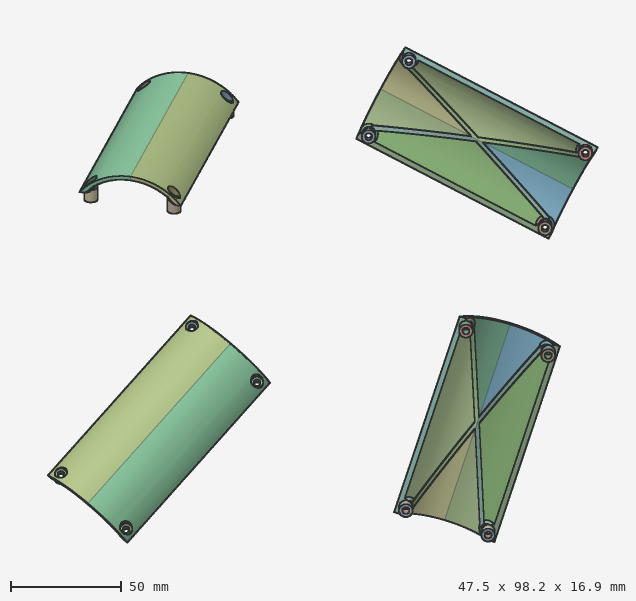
import cadquery as cq
import math

width = 47.5
length = 98.15
height = 16.9

outer_radius = 30.0
shell_thickness = 2.0
inner_radius = outer_radius - shell_thickness
mid_radius = outer_radius - shell_thickness / 2

post_diameter = 6.2
post_spacing_x = 38.9
post_spacing_y = 90.0
post_chamfer = 1.2
screw_hole_diameter = 3.1
counterbore_diameter = 5.5
counterbore_floor_z = 0.95

rib_height = 1.0
rib_width = 2.0
rib_spread_x = 33.2

axis_z = -math.sqrt(outer_radius**2 - (width / 2) ** 2)
crown_z = axis_z + outer_radius
post_bottom_z = crown_z - height
post_x = post_spacing_x / 2
post_y = post_spacing_y / 2

trim_allowance = 3.5
edge_search_distance = 1.3


def arch_cylinder(radius):
    """Cylinder along Y about the arch axis, longer than the part, with its seam along the crown."""
    stock_length = length + 2 * trim_allowance
    end_plane = cq.Plane(origin=(0, stock_length / 2, axis_z), xDir=(0, 0, 1), normal=(0, -1, 0))
    return cq.Workplane(end_plane).circle(radius).extrude(stock_length)


def right_side_box(width_x, length_y, bottom_z):
    """Box on the +X side of the crown, centered on Y, from bottom_z up to the crown."""
    return cq.Workplane("XY", origin=(0, 0, bottom_z)).box(
        width_x, length_y, crown_z - bottom_z, centered=(False, True, False)
    )


def upright_cylinders(diameter, bottom_z):
    """Vertical cylinders at the two +X post centers, from bottom_z up to the crown."""
    return (
        cq.Workplane("XY", origin=(0, 0, bottom_z))
        .pushPoints([(post_x, -post_y), (post_x, post_y)])
        .circle(diameter / 2)
        .extrude(crown_z - bottom_z)
    )


def half_shell_with_posts():
    """The +X half of the shell with two posts, chamfered where they meet the inner surface."""
    stock_box = right_side_box(outer_radius, length + 2 * trim_allowance, -trim_allowance)
    stock = arch_cylinder(outer_radius).cut(arch_cylinder(inner_radius)).intersect(stock_box)
    posts = upright_cylinders(post_diameter, post_bottom_z)
    body = stock.union(posts.intersect(arch_cylinder(mid_radius)))
    root_edges = [
        edge
        for edge in body.edges("not(%LINE or %CIRCLE or %ELLIPSE)").vals()
        if abs(math.hypot(edge.Center().x, edge.Center().z - axis_z) - inner_radius) < edge_search_distance
    ]
    chamfered = body.newObject(root_edges).chamfer(post_chamfer)
    kept_region = right_side_box(width / 2, length, 0).union(posts)
    return chamfered.intersect(kept_region)


def half_ribs():
    """The +X halves of two crossed ribs that run between the posts under the shell."""
    rib_length = math.hypot(rib_spread_x, post_spacing_y)
    rib_angle = math.degrees(math.atan2(post_spacing_y, rib_spread_x))
    bar = cq.Workplane("XY").box(rib_length, rib_width, crown_z, centered=(True, True, False))
    crossed_bars = bar.rotate((0, 0, 0), (0, 0, 1), rib_angle).union(
        bar.rotate((0, 0, 0), (0, 0, 1), -rib_angle)
    )
    rib_band = arch_cylinder(mid_radius).cut(arch_cylinder(inner_radius - rib_height))
    return crossed_bars.intersect(rib_band).intersect(right_side_box(width / 2, length, 0))


half = (
    half_shell_with_posts()
    .union(half_ribs(), clean=False)
    .cut(upright_cylinders(screw_hole_diameter, post_bottom_z), clean=False)
    .cut(upright_cylinders(counterbore_diameter, counterbore_floor_z), clean=False)
)
result = half.union(half.mirror("YZ"), clean=False)